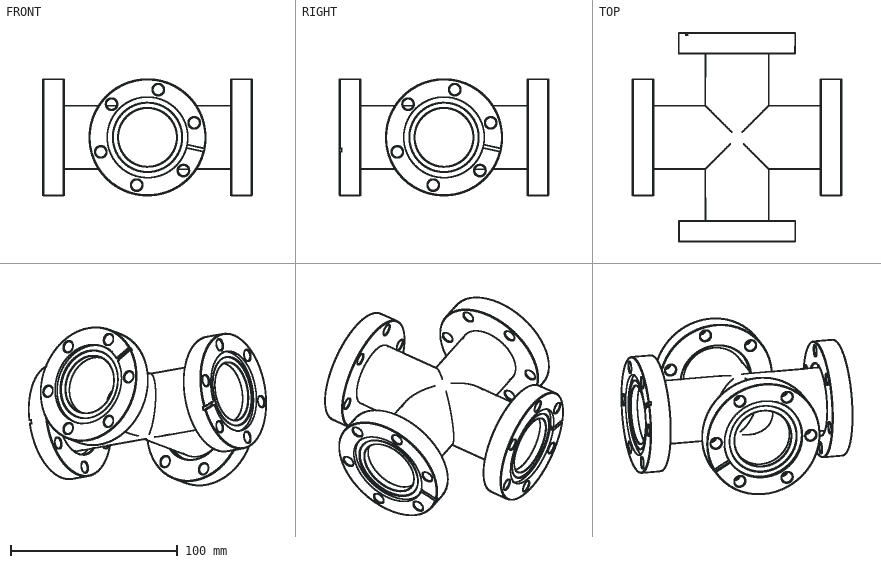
import cadquery as cq

span = 125.4
face = span / 2
flange_radius = 35.0
flange_thickness = 12.7
flange_back = face - flange_thickness
edge_chamfer = 0.4

tube_radius = 19.0
bore_radius = 17.5
tube_end_depth = 5.5
tube_end = face - tube_end_depth

recess_radius = 24.2
recess_depth = 2.1
knife_radius = 21.0
seat_radius = 20.7
bore_chamfer = 0.3
knife_tip_depth = 0.8
seat_depth = 1.4

bolt_count = 6
bolt_pitch = 360 / bolt_count
bolt_circle_radius = 29.3
bolt_hole_radius = 3.3
groove_width = 2.0
groove_depth = 1.5
groove_inner_radius = 23.6

ring_bore_radius = 21.7
shoulder_height = 4.1
insert_back = flange_back + shoulder_height

ring_turn = 17.3
plus_y_groove_angle = 30
minus_x_groove_angle = plus_y_groove_angle + 180


def cylinder(radius, bottom, top):
    """A solid cylinder on the Z axis between two heights."""
    return cq.Workplane("XY").workplane(offset=bottom).circle(radius).extrude(top - bottom)


def flange_disc():
    """The plain disc that every flange starts from."""
    return cylinder(flange_radius, flange_back, face)


def cut_bolt_holes(body, first_angle):
    """Cut the ring of through bolt holes, chamfered at both ends."""
    holes = (
        cq.Workplane("XY")
        .workplane(offset=flange_back)
        .polarArray(bolt_circle_radius, first_angle, 360, bolt_count)
        .circle(bolt_hole_radius)
        .extrude(flange_thickness)
    )
    smallest_circles = cq.selectors.RadiusNthSelector(0)
    return body.cut(holes).edges(smallest_circles).chamfer(edge_chamfer)


def cut_leak_groove(body, angle):
    """Cut the radial groove that runs across the face from the recess to the rim."""
    groove = (
        cq.Workplane("XY")
        .box(flange_radius, groove_width, groove_depth, centered=(False, True, False))
        .translate((groove_inner_radius, 0, face - groove_depth))
        .rotate((0, 0, 0), (0, 0, 1), angle)
    )
    return body.cut(groove)


def seal_core(back):
    """The centre of a flange: knife edge in front, bore, and tube socket behind."""
    return (
        cq.Workplane("XZ")
        .moveTo(tube_radius, back)
        .lineTo(recess_radius, back)
        .lineTo(recess_radius, face - recess_depth)
        .lineTo(knife_radius, face - knife_tip_depth)
        .lineTo(seat_radius, face - seat_depth)
        .lineTo(bore_radius + bore_chamfer, face - seat_depth)
        .lineTo(bore_radius, face - seat_depth - bore_chamfer)
        .lineTo(bore_radius, tube_end)
        .lineTo(tube_radius, tube_end)
        .close()
        .revolve(360, (0, 0, 0), (0, 1, 0))
    )


def fixed_flange(groove_angle):
    """One-piece flange; its bolt holes straddle the groove."""
    rim = flange_disc().edges().chamfer(edge_chamfer).cut(cylinder(recess_radius, flange_back, face))
    body = rim.union(seal_core(flange_back))
    body = cut_bolt_holes(body, groove_angle + bolt_pitch / 2)
    return cut_leak_groove(body, groove_angle)


def insert():
    """Sealing part of a rotatable flange, fixed to the tube."""
    return seal_core(insert_back)


def ring():
    """Loose bolt ring of a rotatable flange, stepped inside to hold the insert."""
    body = flange_disc().cut(cylinder(ring_bore_radius, flange_back, face))
    body = body.edges("%CIRCLE").chamfer(edge_chamfer)
    body = body.cut(cylinder(recess_radius, insert_back, face))
    body = cut_bolt_holes(body, ring_turn)
    return cut_leak_groove(body, ring_turn - bolt_pitch / 2)


def cross_tube():
    """Two hollow tubes crossing at right angles, open into each other."""
    def crossed(radius):
        along_z = cylinder(radius, -tube_end, tube_end)
        along_y = along_z.rotate((0, 0, 0), (1, 0, 0), 90)
        along_x = along_z.rotate((0, 0, 0), (0, 1, 0), 90)
        return along_x.union(along_y)

    return crossed(tube_radius).cut(crossed(bore_radius))


def place(body, turn):
    """Swing a body from +Z onto the -Y arm, then turn it about Z to another arm."""
    return body.rotate((0, 0, 0), (1, 0, 0), 90).rotate((0, 0, 0), (0, 0, 1), turn)


minus_y_arm = 0
plus_x_arm = 90
plus_y_arm = 180
minus_x_arm = 270

bodies = [cross_tube().val()]

for arm in (minus_y_arm, plus_x_arm):
    bodies.append(place(insert(), arm).val())
    bodies.append(place(ring(), arm).val())

for arm, groove_angle in ((plus_y_arm, plus_y_groove_angle), (minus_x_arm, minus_x_groove_angle)):
    bodies.append(place(fixed_flange(groove_angle), arm).val())

result = cq.Compound.makeCompound(bodies)